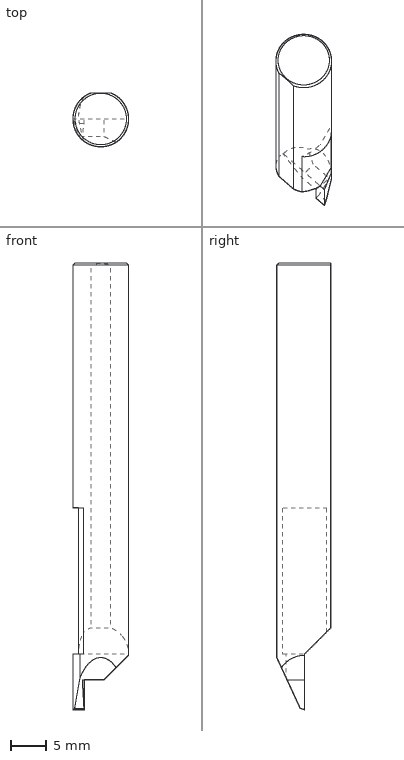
import cadquery as cq
import math

LENGTH = 63.5
DIAMETER = 7.95
RADIUS = DIAMETER / 2
DEPTH_OVER_FLAT = 7.7
FLAT_Y = DEPTH_OVER_FLAT - RADIUS
TOP_CHAMFER = 0.3

RELIEF_TOP = 28.7
RELIEF_X = -3.2
RELIEF_EDGE_Y = 3.1
RELIEF_EDGE_X = -math.sqrt(RADIUS**2 - RELIEF_EDGE_Y**2)
RELIEF_ARC_DEPTH = RELIEF_EDGE_X - RELIEF_X
RELIEF_ARC_RADIUS = (RELIEF_EDGE_Y**2 + RELIEF_ARC_DEPTH**2) / (2 * RELIEF_ARC_DEPTH)

TIP_TOP = 7.95
BODY_BOTTOM = 4.25
END_BEVEL_TOP = 7.75
TIP_WIDTH = 1.65
TIP_INNER_X = TIP_WIDTH - RADIUS
TIP_HEEL_Y = -0.65
TIP_HEEL_Z = 0.2
FRONT_BEVEL_TOP = 7.4
TIP_CLEARANCE = math.radians(21)
INNER_CLEARANCE = math.radians(7)

MARGIN = 1.3
OUTER = RADIUS + MARGIN


def shank():
    bar = cq.Workplane("XY").circle(RADIUS).extrude(LENGTH).faces(">Z").chamfer(TOP_CHAMFER)
    keep = cq.Workplane("XY").box(2 * OUTER, OUTER + FLAT_Y, LENGTH, centered=(True, False, False))
    return bar.intersect(keep.translate((0, -OUTER, 0)))


def side_relief():
    """Pocket with an arc on the +Y half and a sloping plane on the -Y half."""
    half_angle = math.asin(RELIEF_EDGE_Y / RELIEF_ARC_RADIUS) / 2
    arc_mid_x = RELIEF_X + RELIEF_ARC_RADIUS * (1 - math.cos(half_angle))
    arc_mid_y = RELIEF_ARC_RADIUS * math.sin(half_angle)
    return (
        cq.Workplane("XY", origin=(0, 0, TIP_TOP))
        .moveTo(-OUTER, -RELIEF_EDGE_Y)
        .lineTo(RELIEF_EDGE_X, -RELIEF_EDGE_Y)
        .lineTo(RELIEF_X, 0)
        .threePointArc((arc_mid_x, arc_mid_y), (RELIEF_EDGE_X, RELIEF_EDGE_Y))
        .lineTo(-OUTER, RELIEF_EDGE_Y)
        .close()
        .extrude(RELIEF_TOP - TIP_TOP)
    )


def side_profile():
    """YZ outline: rake face at Y = 0, 45 degree run-out and bevelled -Y front."""
    return (
        cq.Workplane("YZ", origin=(-OUTER, 0, 0))
        .polyline([
            (0, 0),
            (0, TIP_TOP),
            (OUTER, TIP_TOP + OUTER),
            (OUTER, LENGTH),
            (-RADIUS, LENGTH),
            (-RADIUS, FRONT_BEVEL_TOP),
            (TIP_HEEL_Y, TIP_HEEL_Z),
        ])
        .close()
        .extrude(2 * OUTER)
    )


def end_cut():
    """Clears the space beside the tip and bevels the +X corner at 45 degrees."""
    bevel_inner_x = RADIUS - (END_BEVEL_TOP - BODY_BOTTOM)
    beside_tip = (
        cq.Workplane("XY")
        .polyline([
            (TIP_INNER_X, 0),
            (OUTER, 0),
            (OUTER, -OUTER),
            (TIP_INNER_X - OUTER * math.tan(INNER_CLEARANCE), -OUTER),
        ])
        .close()
        .extrude(BODY_BOTTOM)
    )
    bevel = (
        cq.Workplane("XZ", origin=(0, OUTER, 0))
        .polyline([
            (bevel_inner_x, BODY_BOTTOM),
            (OUTER, BODY_BOTTOM),
            (OUTER, END_BEVEL_TOP + MARGIN),
        ])
        .close()
        .extrude(2 * OUTER)
    )
    return beside_tip.union(bevel)


def tip_clearance():
    """Sloping outer flank of the tip, falling away from the cutting edge."""
    return (
        cq.Workplane("XY")
        .polyline([
            (-RADIUS, 0),
            (-OUTER, 0),
            (-OUTER, -OUTER),
            (-RADIUS + OUTER * math.tan(TIP_CLEARANCE), -OUTER),
        ])
        .close()
        .extrude(TIP_TOP)
    )


result = shank().intersect(side_profile()).cut(side_relief()).cut(end_cut()).cut(tip_clearance())